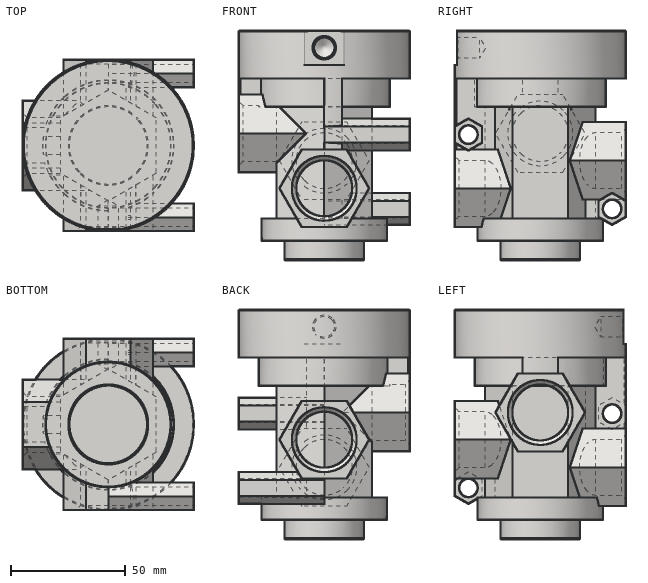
import cadquery as cq
import math

FLANGE_BOTTOM = 8.5
FLANGE_TOP = 18.3
COLLAR_BOTTOM = 67.1
CAP_BOTTOM = 79.5
FLAT_BOTTOM = 85.5
CAP_TOP = 100.5

SPIGOT_DIAMETER = 35.0
FLANGE_DIAMETER = 55.0
COLLAR_DIAMETER = 57.5
CAP_DIAMETER = 75.0
EDGE_CHAMFER = 0.5
FINE_CHAMFER = 0.25
REACH = CAP_DIAMETER / 2

FLAT_DEPTH = 1.0
CAP_HOLE_DIAMETER = 9.0
CAP_HOLE_MOUTH_DIAMETER = 10.2
CAP_HOLE_HEIGHT = 93.0
CAP_HOLE_DEPTH = 10.0
DRILL_POINT_ANGLE = 118.0

BODY_ACROSS_FLATS = 42.0

PORT_ACROSS_FLATS = 34.0
PORT_BORE_DIAMETER = 24.5
PORT_MOUTH_DIAMETER = 28.4
MINUS_X_PORT_HEIGHT = 55.5
MINUS_Y_PORT_HEIGHT = 31.5
PLUS_Y_PORT_HEIGHT = 43.6

ARM_ACROSS_CORNERS = 14.0
ARM_HOLE_DIAMETER = 8.0
MINUS_Y_ARM_HEIGHT = 55.0
PLUS_Y_ARM_HEIGHT = 22.5

RIB_WIDTH = 15.5


def across_corners(across_flats):
    return across_flats / math.cos(math.radians(30))


def disc(diameter, bottom, top):
    return cq.Workplane("XY").workplane(offset=bottom).circle(diameter / 2).extrude(top - bottom)


def make_cap():
    cap = disc(CAP_DIAMETER, CAP_BOTTOM, CAP_TOP).faces(">Z").chamfer(EDGE_CHAMFER)
    flat_cut = cq.Workplane("XY").box(
        CAP_DIAMETER, FLAT_DEPTH, CAP_TOP - FLAT_BOTTOM, centered=(True, False, False)
    )
    return cap.cut(flat_cut.translate((0, -REACH, FLAT_BOTTOM)))


def make_cap_hole():
    """Countersunk blind hole with a conical end, drilled towards +Y from the flat."""
    radius = CAP_HOLE_DIAMETER / 2
    mouth_radius = CAP_HOLE_MOUTH_DIAMETER / 2
    point_length = radius / math.tan(math.radians(DRILL_POINT_ANGLE / 2))
    profile = (
        cq.Workplane("XY")
        .moveTo(0, 0)
        .lineTo(mouth_radius, 0)
        .lineTo(radius, mouth_radius - radius)
        .lineTo(radius, CAP_HOLE_DEPTH)
        .lineTo(0, CAP_HOLE_DEPTH + point_length)
        .close()
    )
    hole = profile.revolve(360, (0, 0, 0), (0, 1, 0))
    return hole.translate((0, FLAT_DEPTH - REACH, CAP_HOLE_HEIGHT))


def make_body():
    """Hexagonal prism with two corners on the Y axis."""
    hexagon = cq.Workplane("XY").polygon(6, across_corners(BODY_ACROSS_FLATS))
    body = hexagon.extrude(COLLAR_BOTTOM - FLANGE_TOP)
    return body.rotate((0, 0, 0), (0, 0, 1), 90).translate((0, 0, FLANGE_TOP))


def make_port(height, turn):
    """Hexagonal socket from the main axis out to -Y, then turned about Z by `turn` degrees."""
    hexagon = cq.Workplane("XZ").polygon(6, across_corners(PORT_ACROSS_FLATS)).extrude(REACH)
    bore = cq.Workplane("XZ").circle(PORT_BORE_DIAMETER / 2).extrude(REACH)
    mouth_depth = (PORT_MOUTH_DIAMETER - PORT_BORE_DIAMETER) / 2
    mouth = (
        cq.Workplane("XZ")
        .workplane(offset=REACH - mouth_depth)
        .circle(PORT_BORE_DIAMETER / 2)
        .workplane(offset=mouth_depth)
        .circle(PORT_MOUTH_DIAMETER / 2)
        .loft()
    )
    port = hexagon.cut(bore).cut(mouth)
    return port.rotate((0, 0, 0), (0, 0, 1), turn).translate((0, 0, height))


def arm_centre(side):
    """Y position of an arm whose outer flat lies at the full reach."""
    half_flats = ARM_ACROSS_CORNERS / 2 * math.cos(math.radians(30))
    return side * (REACH - half_flats)


def make_arm(side, height):
    hexagon = cq.Workplane("YZ").polygon(6, ARM_ACROSS_CORNERS).extrude(REACH)
    hexagon = hexagon.rotate((0, 0, 0), (1, 0, 0), 90)
    return hexagon.translate((0, arm_centre(side), height))


def make_arm_hole(side, height):
    hole = cq.Workplane("YZ").circle(ARM_HOLE_DIAMETER / 2).extrude(REACH)
    return hole.translate((0, arm_centre(side), height))


def make_minus_x_rib():
    """Rib from the cap down to the -X port, flush with the rim of the cap."""
    rib = disc(CAP_DIAMETER, MINUS_X_PORT_HEIGHT + PORT_ACROSS_FLATS / 2, CAP_BOTTOM)
    length = REACH - BODY_ACROSS_FLATS / 2
    limits = cq.Workplane("XY").box(length, RIB_WIDTH, CAP_TOP, centered=(False, True, False))
    return rib.intersect(limits.translate((-REACH, 0, 0)))


def make_minus_y_rib():
    """Half-width rib on the +X side of centre, from the cap down to the -Y port."""
    rib = disc(CAP_DIAMETER, MINUS_Y_PORT_HEIGHT + PORT_ACROSS_FLATS / 2, CAP_BOTTOM)
    limits = cq.Workplane("XY").box(RIB_WIDTH / 2, REACH, CAP_TOP, centered=False)
    return rib.intersect(limits.translate((0, -REACH, 0)))


def make_plus_y_web():
    """Web below the +Y port that ties the +Y arm to the body."""
    top = PLUS_Y_PORT_HEIGHT - PORT_ACROSS_FLATS / 2
    web = cq.Workplane("XY").box(RIB_WIDTH / 2, arm_centre(1), top - FLANGE_TOP, centered=False)
    return web.translate((0, 0, FLANGE_TOP))


ports = [
    (MINUS_Y_PORT_HEIGHT, 0),
    (MINUS_X_PORT_HEIGHT, -90),
    (PLUS_Y_PORT_HEIGHT, 180),
]
arms = [
    (-1, MINUS_Y_ARM_HEIGHT),
    (1, PLUS_Y_ARM_HEIGHT),
]

spigot = disc(SPIGOT_DIAMETER, 0, FLANGE_BOTTOM).faces("<Z").chamfer(EDGE_CHAMFER)
flange = disc(FLANGE_DIAMETER, FLANGE_BOTTOM, FLANGE_TOP).faces("<Z").chamfer(FINE_CHAMFER)
collar = disc(COLLAR_DIAMETER, COLLAR_BOTTOM, CAP_BOTTOM).faces("<Z").chamfer(FINE_CHAMFER)

result = spigot.union(flange).union(make_body()).union(collar)
result = result.union(make_cap())
result = result.union(make_minus_x_rib())
result = result.union(make_minus_y_rib())
result = result.union(make_plus_y_web())
for port_height, port_turn in ports:
    result = result.union(make_port(port_height, port_turn))
for arm_side, arm_height in arms:
    result = result.union(make_arm(arm_side, arm_height))
for arm_side, arm_height in arms:
    result = result.cut(make_arm_hole(arm_side, arm_height))
result = result.cut(make_cap_hole())